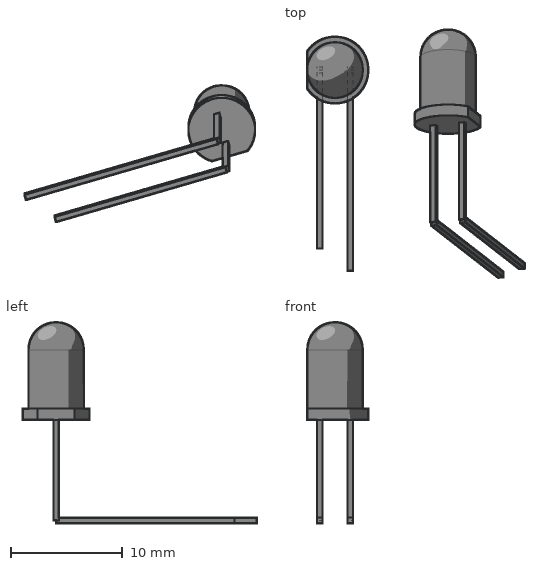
import cadquery as cq

body_radius = 2.5
body_height = 5.27
flange_radius = 3.0
flange_height = 1.0
wire_width = 0.5
lead_pitch = 2.73
drop_length = 9.0
long_reach = 18.0
short_reach = 16.0


def make_lamp():
    """Domed lens on a flange with one flat side, tangent to the lens."""
    flat_trim = flange_radius - body_radius
    flange = cq.Workplane("XY").circle(flange_radius).extrude(flange_height)
    trim = cq.Workplane("XY").box(
        flat_trim, 2 * flange_radius, flange_height, centered=(False, True, False)
    ).translate((-flange_radius, 0, 0))
    dome_base = flange_height + body_height
    barrel = cq.Workplane("XY").circle(body_radius).extrude(dome_base)
    dome = cq.Workplane("XY").sphere(body_radius).translate((0, 0, dome_base))
    return flange.cut(trim).union(barrel).union(dome)


def make_drop(x):
    """Upright wire hanging from the flange."""
    return (
        cq.Workplane("XY")
        .center(x, 0)
        .rect(wire_width, wire_width)
        .extrude(-drop_length)
    )


def make_tail(x, reach, drop):
    """Level wire running toward -Y, notched to fit around the foot of the drop."""
    tail = (
        cq.Workplane("XZ")
        .center(x, -drop_length)
        .rect(wire_width, wire_width)
        .extrude(reach)
    )
    return tail.cut(drop)


lamp = make_lamp()

drops = []
tails = []
for side, reach in ((-1, short_reach), (1, long_reach)):
    lead_x = side * lead_pitch / 2
    drop = make_drop(lead_x)
    drops.append(drop.solids().val())
    tails.append(make_tail(lead_x, reach, drop).solids().val())

result = cq.Compound.makeCompound([lamp.solids().val(), *drops, *tails])